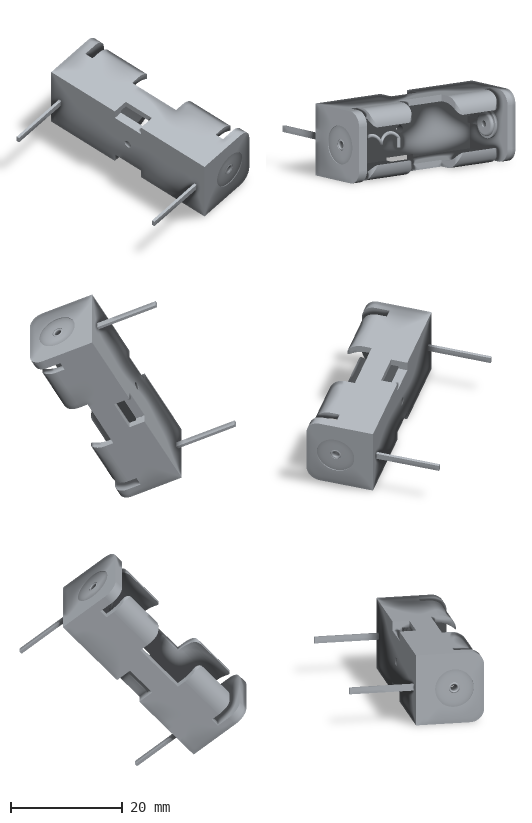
import cadquery as cq
import math

length = 35.8
height = 13.1
depth = 12.45
middle_x = length / 2
top_z = height / 2
wall_rim_y = 7.3
end_wall = 1.83
end_corner_radius = 2.5

contact_axis_y = 7.0
cavity_radius = 5.35
cavity_axis_y = 8.05
floor_thickness = 1.7

clip_start = 3.5
clip_length = 9.27
clip_top_y = 12.15
clip_round = 3.15
clip_corner_radius = 1.07
clip_mouth = height - 2 * clip_round

slot_length = 6.1
slot_depth = 1.72
slot_top_y = 3.05
floor_hole_radius = 0.75
end_recess_radius = 3.5
end_recess_depth = 0.15

plate_thickness = 0.55
plate_radius = 2.65
dome_radius = 2.22
dome_height = 0.55
dome_round = 0.43
eyelet_outer_radius = 1.0
eyelet_inner_radius = 0.6
pin_width = 1.15
pin_tip_y = -11.78
plate_face_x = end_wall + plate_thickness
dome_face_x = plate_face_x + dome_height

wire_radius = 0.32
coil_radius = 0.85
coil_pitch = 4.3
spring_tip_x = 22.77
spring_tail = 1.8


def box(x0, x1, y0, y1, z0, z1):
    """Axis-aligned box given by its limits."""
    return cq.Workplane("XY").box(x1 - x0, y1 - y0, z1 - z0, centered=False).translate((x0, y0, z0))


def cylinder_x(x0, x1, axis_y, radius):
    """Cylinder parallel to X at Z = 0."""
    return cq.Workplane("YZ", origin=(x0, axis_y, 0)).circle(radius).extrude(x1 - x0)


def at_other_end(body):
    """The mirror image of a body at the +X end of the housing."""
    return body.mirror("YZ", (middle_x, 0, 0))


def end_block():
    """Full-height end wall with rounded back corners."""
    block = box(0, end_wall, 0, depth, -top_z, top_z)
    return block.edges("|X and >Y").fillet(end_corner_radius)


def clip():
    """Pair of curved fingers that close over the battery, with a mouth between them."""
    clip_end = clip_start + clip_length
    blank = box(clip_start, clip_end, 0, clip_top_y, -top_z, top_z)
    rounded_ends = blank.edges("|Z and >Y").fillet(clip_corner_radius)
    rounded_back = blank.edges("|X and >Y").fillet(clip_round)
    mouth = box(clip_start, clip_end, wall_rim_y, depth, -clip_mouth / 2, clip_mouth / 2)
    return rounded_ends.intersect(rounded_back).cut(mouth)


def cavity():
    """Battery space: round towards the back, square towards the floor."""
    far_end = length - end_wall
    bore = cylinder_x(end_wall, far_end, cavity_axis_y, cavity_radius)
    trough = box(end_wall, far_end, floor_thickness, cavity_axis_y, -cavity_radius, cavity_radius)
    return bore.union(trough)


def floor_slot():
    """Slot that opens the corner between the floor and the upper side wall."""
    return box(middle_x - slot_length / 2, middle_x + slot_length / 2, 0, slot_top_y,
               top_z - slot_depth, top_z)


def floor_hole():
    return cq.Workplane("XZ", origin=(middle_x, 0, 0)).circle(floor_hole_radius).extrude(-floor_thickness)


def contact_seat():
    """Openings of the -X end for its contact: shallow recess, eyelet hole and pin hole."""
    recess = cylinder_x(0, end_recess_depth, contact_axis_y, end_recess_radius)
    eyelet_hole = cylinder_x(0, end_wall, contact_axis_y, eyelet_outer_radius)
    pin_hole = box(end_wall, plate_face_x, 0, floor_thickness, -pin_width / 2, pin_width / 2)
    return recess.union(eyelet_hole).union(pin_hole)


def make_housing():
    body = box(0, length, 0, wall_rim_y, -top_z, top_z)
    for piece in (end_block(), clip()):
        body = body.union(piece).union(at_other_end(piece))
    body = body.cut(cavity()).cut(floor_hole())
    body = body.cut(floor_slot()).cut(floor_slot().mirror("XY"))
    return body.cut(contact_seat()).cut(at_other_end(contact_seat()))


def make_contact():
    """Contact of the -X end: domed plate with a hollow eyelet through the wall, and a solder pin."""
    rim = (eyelet_outer_radius - eyelet_inner_radius) / 2
    rim_x = end_recess_depth + rim
    crest_radius = eyelet_inner_radius + rim
    rim_diagonal = rim * math.sqrt(0.5)
    dome_diagonal = dome_round * math.sqrt(0.5)
    dome_round_x = dome_face_x - dome_round
    dome_flat_radius = dome_radius - dome_round
    section = (
        cq.Workplane("XY")
        .moveTo(dome_face_x, eyelet_inner_radius)
        .lineTo(dome_face_x, dome_flat_radius)
        .threePointArc((dome_round_x + dome_diagonal, dome_flat_radius + dome_diagonal),
                       (dome_round_x, dome_radius))
        .lineTo(plate_face_x, dome_radius)
        .lineTo(plate_face_x, plate_radius)
        .lineTo(end_wall, plate_radius)
        .lineTo(end_wall, eyelet_outer_radius)
        .lineTo(rim_x, eyelet_outer_radius)
        .threePointArc((rim_x - rim_diagonal, crest_radius + rim_diagonal),
                       (end_recess_depth, crest_radius))
        .threePointArc((rim_x - rim_diagonal, crest_radius - rim_diagonal),
                       (rim_x, eyelet_inner_radius))
        .close()
    )
    turned = section.revolve(360, (0, 0, 0), (1, 0, 0)).translate((0, contact_axis_y, 0))
    pin_top_y = contact_axis_y - dome_flat_radius
    pin = box(end_wall, plate_face_x, pin_tip_y, pin_top_y, -pin_width / 2, pin_width / 2)
    return turned.union(pin)


def make_spring():
    """Open coil against the +X contact, ending in a straight tail at its free end."""
    start_x = spring_tip_x + wire_radius
    coil_length = length - dome_face_x - wire_radius - start_x
    path = cq.Workplane(cq.Wire.makeHelix(coil_pitch, coil_length, coil_radius))
    coil = cq.Workplane("XZ", origin=(coil_radius, 0, 0)).circle(wire_radius).sweep(path, isFrenet=True)
    coil = coil.rotate((0, 0, 0), (0, 1, 0), 90).rotate((0, 0, 0), (1, 0, 0), 90)
    coil = coil.translate((start_x, contact_axis_y, 0))
    tail_start = (start_x, contact_axis_y + coil_radius, 0)
    tail = cq.Workplane("XY", origin=tail_start).circle(wire_radius).extrude(-spring_tail)
    return coil.union(tail)


housing = make_housing()
near_contact = make_contact()
far_contact = at_other_end(near_contact)
spring = make_spring()

bodies = (housing, near_contact, far_contact, spring)
result = cq.Compound.makeCompound([body.solids().val() for body in bodies])